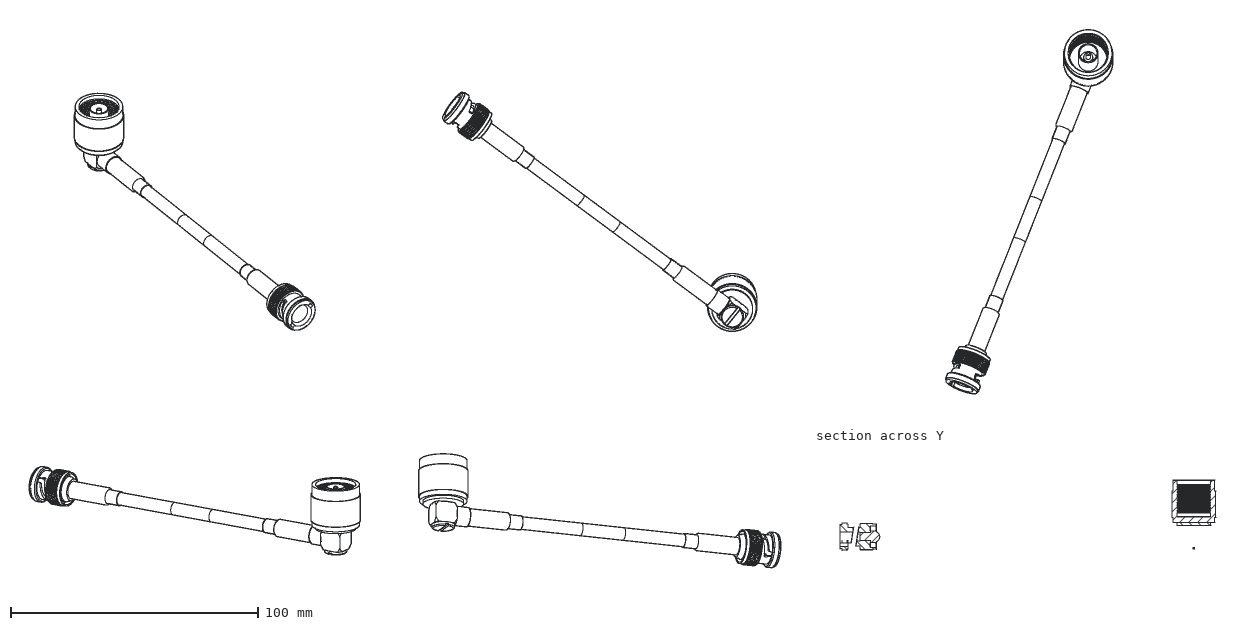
import cadquery as cq
import math


OVERALL_LENGTH = 153.3
OVERALL_HEIGHT = 30.0

NUT_RADIUS = 20.1 / 2
NUT_END_RADIUS = 9.7
NUT_TOP = 22.8
NUT_BOTTOM = 5.7
NUT_GRIP_TOP = 18.5
NUT_GRIP_BOTTOM = 7.7
NUT_LEAD_RADIUS = 8.1
NUT_LEAD_DEPTH = 1.7
THREAD_ROOT_RADIUS = 8.1
THREAD_CREST_RADIUS = 7.7
THREAD_PITCH = 1.0
THREAD_FLAT = THREAD_PITCH / 4
THREAD_TURNS = 11
NUT_FLOOR = 8.1

FLANGE_RADIUS = 8.3
FLANGE_BOTTOM = 4.5
BLOCK_WIDTH = 8.6
BLOCK_LEFT = -4.8
BLOCK_RIGHT = 4.5
BLOCK_FACE_RADIUS = 4.9
BLOCK_CHAMFER = 1.2
CAP_RADIUS = 4.6
CAP_BOTTOM = -5.8
CAP_EDGE_CHAMFER = 0.5
CAP_SLOT_WIDTH = 1.2
CAP_SLOT_DEPTH = 0.8
COLLAR_RADIUS = 4.0
COLLAR_END = 10.5
CONTACT_RADIUS = 4.0
CONTACT_BORE_RADIUS = 3.5
CONTACT_TOP = 21.9
CONTACT_FLOOR = 10.7

PIN_BASE_RADIUS = 1.8
PIN_TIP_RADIUS = 0.9
PIN_SHOULDER = 15.3
PIN_TOP = 21.9
PIN_POINT = 0.5

CABLE_RADIUS = 2.6
CABLE_MIDDLE_LENGTH = 18.4
FERRULE_RADIUS = 7.2 / 2
FERRULE_LENGTH = 17.5
FERRULE_ROUND = 0.8
TAIL_RADIUS = 2.9
TAIL_LENGTH = 5.5
RIGHT_FERRULE_END = 126.6

CONE_SMALL_RADIUS = 4.5
CONE_LARGE_RADIUS = 5.2
CONE_END = 128.8
BARREL_BORE_RADIUS = 4.9
PLUG_END = 135.2
BAYONET_CONTACT_RADIUS = 4.0
BAYONET_CONTACT_END = 141.8

COUPLING_START = 128.5
COUPLING_END = OVERALL_LENGTH - NUT_RADIUS
COUPLING_LIP_RADIUS = 6.9
RECESS_RADIUS = 6.3
RECESS_END = 131.0
KNURL_START = 129.7
KNURL_END = 135.2
KNURL_RADIUS = OVERALL_HEIGHT - NUT_TOP
KNURL_DEPTH = 0.3
KNURL_TEETH = 60
KNURL_EDGE_CHAMFER = 0.5
BARREL_RADIUS = 6.0
RIM_START = 140.0
RIM_RADIUS = KNURL_RADIUS
RIM_STEP = 0.5
RIM_STEP_END = 142.5

SLOT_WIDTH = 2.0
SEAT_X = 136.6
SEAT_ANGLE = 44
ENTRY_X = 137.8
ENTRY_ANGLE = -35
SLOT_COUNT = 2


def turned_along_x(profile):
    """Revolve (x, radius) points around the X axis."""
    return cq.Workplane("XY").polyline(profile).close().revolve(360, (0, 0, 0), (1, 0, 0))


def turned_along_z(profile):
    """Revolve (radius, z) points around the Z axis."""
    return cq.Workplane("XZ").polyline(profile).close().revolve(360, (0, 0, 0), (0, 1, 0))


def rod(radius, start, end):
    return cq.Workplane("YZ").workplane(offset=start).circle(radius).extrude(end - start)


def upright_rod(radius, bottom, top):
    return cq.Workplane("XY").workplane(offset=bottom).circle(radius).extrude(top - bottom)


def toothed_outline(tip_radius, depth, teeth):
    """Points of a closed ring of V-shaped teeth."""
    points = []
    for step in range(2 * teeth):
        radius = tip_radius - depth * (step % 2)
        angle = math.pi * step / teeth
        points.append((radius * math.cos(angle), radius * math.sin(angle)))
    return points


def make_nut():
    bore = [(NUT_LEAD_RADIUS, NUT_TOP), (NUT_LEAD_RADIUS, NUT_TOP - NUT_LEAD_DEPTH)]
    thread_top = NUT_TOP - NUT_LEAD_DEPTH
    for turn in range(THREAD_TURNS):
        root_z = thread_top - turn * THREAD_PITCH
        bore.append((THREAD_CREST_RADIUS, root_z - THREAD_FLAT))
        bore.append((THREAD_CREST_RADIUS, root_z - 2 * THREAD_FLAT))
        bore.append((THREAD_ROOT_RADIUS, root_z - 3 * THREAD_FLAT))
        bore.append((THREAD_ROOT_RADIUS, root_z - THREAD_PITCH))
    outline = bore + [
        (THREAD_ROOT_RADIUS, NUT_FLOOR),
        (CONTACT_RADIUS, NUT_FLOOR),
        (CONTACT_RADIUS, NUT_BOTTOM),
        (NUT_END_RADIUS, NUT_BOTTOM),
        (NUT_END_RADIUS, NUT_GRIP_BOTTOM),
        (NUT_RADIUS, NUT_GRIP_BOTTOM),
        (NUT_RADIUS, NUT_GRIP_TOP),
        (NUT_END_RADIUS, NUT_GRIP_TOP),
        (NUT_END_RADIUS, NUT_TOP),
    ]
    return turned_along_z(outline)


def make_block():
    """Square bar along X whose two ends have conical chamfers."""
    length = BLOCK_RIGHT - BLOCK_LEFT
    bar = cq.Workplane("YZ").workplane(offset=BLOCK_LEFT).rect(BLOCK_WIDTH, BLOCK_WIDTH).extrude(length)
    envelope = rod(BLOCK_FACE_RADIUS + BLOCK_CHAMFER, BLOCK_LEFT, BLOCK_RIGHT)
    return bar.intersect(envelope.faces("<X or >X").chamfer(BLOCK_CHAMFER))


def make_elbow():
    flange = upright_rod(FLANGE_RADIUS, FLANGE_BOTTOM, NUT_BOTTOM)
    block_neck = upright_rod(BLOCK_WIDTH / 2, 0, FLANGE_BOTTOM)
    contact = upright_rod(CONTACT_RADIUS, NUT_BOTTOM, CONTACT_TOP)
    collar = rod(COLLAR_RADIUS, 0, COLLAR_END)
    cap = upright_rod(CAP_RADIUS, CAP_BOTTOM, -BLOCK_WIDTH / 2).faces("<Z").chamfer(CAP_EDGE_CHAMFER)
    slot = (
        cq.Workplane("XY")
        .workplane(offset=CAP_BOTTOM)
        .rect(CAP_SLOT_WIDTH, 2 * CAP_RADIUS)
        .extrude(CAP_SLOT_DEPTH)
    )
    bore = upright_rod(CONTACT_BORE_RADIUS, CONTACT_FLOOR, CONTACT_TOP)
    elbow = make_block()
    for feature in (block_neck, flange, contact, collar, cap):
        elbow = elbow.union(feature)
    return elbow.cut(slot).cut(bore)


def make_pin():
    return turned_along_z(
        [
            (0, CONTACT_FLOOR),
            (PIN_BASE_RADIUS, CONTACT_FLOOR),
            (PIN_BASE_RADIUS, PIN_SHOULDER),
            (PIN_TIP_RADIUS, PIN_SHOULDER),
            (PIN_TIP_RADIUS, PIN_TOP - PIN_POINT),
            (PIN_TIP_RADIUS - PIN_POINT, PIN_TOP),
            (0, PIN_TOP),
        ]
    )


def make_ferrule(connector_end, direction):
    """Crimp sleeve from a connector along direction (+1 or -1), ending in a thin tail round the cable."""
    shoulder = connector_end + direction * FERRULE_LENGTH
    tail_end = shoulder + direction * TAIL_LENGTH
    sleeve = rod(FERRULE_RADIUS, min(connector_end, shoulder), max(connector_end, shoulder))
    sleeve = sleeve.faces(">X" if direction > 0 else "<X").edges().fillet(FERRULE_ROUND)
    tail = rod(TAIL_RADIUS, min(connector_end, tail_end), max(connector_end, tail_end))
    bore = rod(CABLE_RADIUS, min(connector_end, tail_end), max(connector_end, tail_end))
    return sleeve.union(tail).cut(bore)


def make_cable_section(start, end):
    return rod(CABLE_RADIUS, start, end)


def make_bayonet_body():
    return turned_along_x(
        [
            (RIGHT_FERRULE_END, 0),
            (RIGHT_FERRULE_END, CONE_SMALL_RADIUS),
            (CONE_END, CONE_LARGE_RADIUS),
            (RECESS_END, CONE_LARGE_RADIUS),
            (RECESS_END, BARREL_BORE_RADIUS),
            (PLUG_END, BARREL_BORE_RADIUS),
            (PLUG_END, BAYONET_CONTACT_RADIUS),
            (BAYONET_CONTACT_END, BAYONET_CONTACT_RADIUS),
            (BAYONET_CONTACT_END, 0),
        ]
    )


def make_knurl():
    """Toothed wheel with both end edges chamfered."""
    length = KNURL_END - KNURL_START
    outline = toothed_outline(KNURL_RADIUS, KNURL_DEPTH, KNURL_TEETH)
    wheel = cq.Workplane("YZ").workplane(offset=KNURL_START).polyline(outline).close().extrude(length)
    envelope = rod(KNURL_RADIUS, KNURL_START, KNURL_END).faces("<X or >X").chamfer(KNURL_EDGE_CHAMFER)
    return wheel.intersect(envelope)


def make_bayonet_slot():
    """Cutter for one slot, on the -Y side of the barrel."""
    rise = BARREL_RADIUS * math.sin(math.radians((SEAT_ANGLE - ENTRY_ANGLE) / 2))
    run = (ENTRY_X - SEAT_X) / 2
    slope = math.degrees(math.atan2(rise, -run))
    length = 2 * math.hypot(rise, run) + SLOT_WIDTH
    depth = BARREL_RADIUS - BARREL_BORE_RADIUS * math.cos(math.radians(SEAT_ANGLE))
    sloping = (
        cq.Workplane("XZ")
        .workplane(offset=BARREL_RADIUS - depth)
        .center((SEAT_X + ENTRY_X) / 2, 0)
        .slot2D(length, SLOT_WIDTH, slope)
        .extrude(depth)
    )
    sloping = sloping.rotate((0, 0, 0), (1, 0, 0), -(SEAT_ANGLE + ENTRY_ANGLE) / 2)
    entry = (
        cq.Workplane("XY")
        .box(COUPLING_END - ENTRY_X, BARREL_RADIUS, SLOT_WIDTH, centered=(False, False, True))
        .translate((ENTRY_X, -BARREL_RADIUS, 0))
        .rotate((0, 0, 0), (1, 0, 0), -ENTRY_ANGLE)
    )
    return sloping.union(entry)


def make_coupling():
    shell = turned_along_x(
        [
            (COUPLING_START, 0),
            (COUPLING_START, COUPLING_LIP_RADIUS),
            (KNURL_END, COUPLING_LIP_RADIUS),
            (KNURL_END, BARREL_RADIUS),
            (RIM_START, BARREL_RADIUS),
            (RIM_START, RIM_RADIUS - RIM_STEP),
            (RIM_START + RIM_STEP, RIM_RADIUS),
            (RIM_STEP_END, RIM_RADIUS),
            (RIM_STEP_END, RIM_RADIUS - RIM_STEP),
            (COUPLING_END, RIM_RADIUS - RIM_STEP),
            (COUPLING_END, 0),
        ]
    )
    coupling = shell.union(make_knurl())
    coupling = coupling.cut(rod(BARREL_BORE_RADIUS, COUPLING_START, COUPLING_END))
    coupling = coupling.cut(rod(RECESS_RADIUS, COUPLING_START, RECESS_END))
    slot = make_bayonet_slot()
    for index in range(SLOT_COUNT):
        coupling = coupling.cut(slot.rotate((0, 0, 0), (1, 0, 0), index * 360 / SLOT_COUNT))
    return coupling


nut = make_nut()
elbow = make_elbow()
pin = make_pin()
ferrules = [make_ferrule(COLLAR_END, 1), make_ferrule(RIGHT_FERRULE_END, -1)]
cable_centre = (COLLAR_END + RIGHT_FERRULE_END) / 2
middle_start = cable_centre - CABLE_MIDDLE_LENGTH / 2
middle_end = cable_centre + CABLE_MIDDLE_LENGTH / 2
cable_breaks = [COLLAR_END, middle_start, middle_end, RIGHT_FERRULE_END]
cable_sections = [make_cable_section(start, end) for start, end in zip(cable_breaks, cable_breaks[1:])]
bayonet_body = make_bayonet_body()
coupling = make_coupling()

result = cq.Compound.makeCompound(
    [
        nut.val(),
        elbow.val(),
        pin.val(),
        *[ferrule.val() for ferrule in ferrules],
        *[section.val() for section in cable_sections],
        bayonet_body.val(),
        coupling.val(),
    ]
)